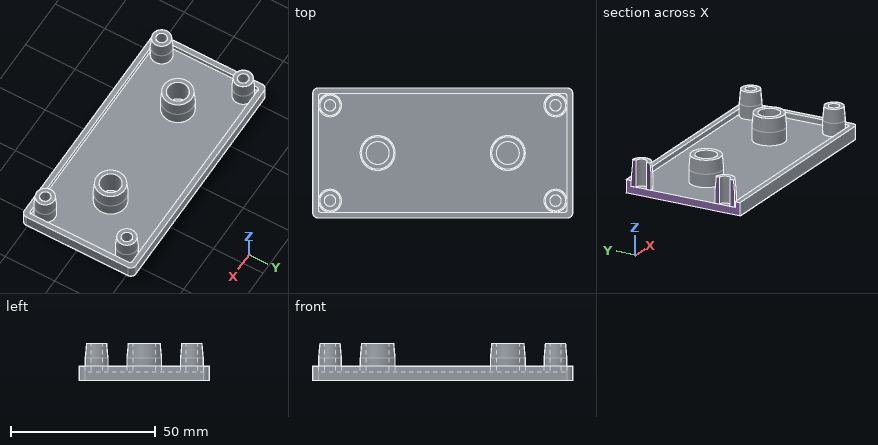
import cadquery as cq

length = 90.0
width = length / 2
tray_height = 5.0
wall = 2.0
floor_thickness = 3.0
outer_corner_radius = 2.0
inner_corner_radius = 1.0

total_height = 13.0
nose_height = 5.0
nose_inset = 0.45
foot_top = total_height - nose_height

post_radius = 4.0
post_bore_radius = post_radius / 2
post_inset = 6.0
post_x = length / 2 - post_inset
post_y = width / 2 - post_inset

boss_radius = 6.0
boss_bore_radius = post_radius
boss_x = length / 4


def hollow_stud(x, y, radius, bore_radius):
    """Bored stud standing on the tray floor, with a straight foot and a conical nose."""
    return (
        cq.Workplane("XZ")
        .moveTo(bore_radius, floor_thickness)
        .lineTo(radius, floor_thickness)
        .lineTo(radius, foot_top)
        .lineTo(radius - nose_inset, total_height)
        .lineTo(bore_radius, total_height)
        .close()
        .revolve(360, (0, 0, 0), (0, 1, 0))
        .translate((x, y, 0))
    )


def make_tray():
    """Open tray with two large hollow bosses rising from its floor."""
    recess = (
        cq.Workplane("XY")
        .workplane(offset=floor_thickness)
        .rect(length - 2 * wall, width - 2 * wall)
        .extrude(tray_height - floor_thickness)
        .edges("|Z")
        .fillet(inner_corner_radius)
    )
    tray = (
        cq.Workplane("XY")
        .rect(length, width)
        .extrude(tray_height)
        .edges("|Z")
        .fillet(outer_corner_radius)
        .cut(recess)
    )
    for x in (-boss_x, boss_x):
        tray = tray.union(hollow_stud(x, 0, boss_radius, boss_bore_radius))
    return tray


tray = make_tray()

corner_posts = []
for x in (-post_x, post_x):
    for y in (-post_y, post_y):
        corner_posts.append(hollow_stud(x, y, post_radius, post_bore_radius).val())

result = cq.Compound.makeCompound([tray.val(), *corner_posts])